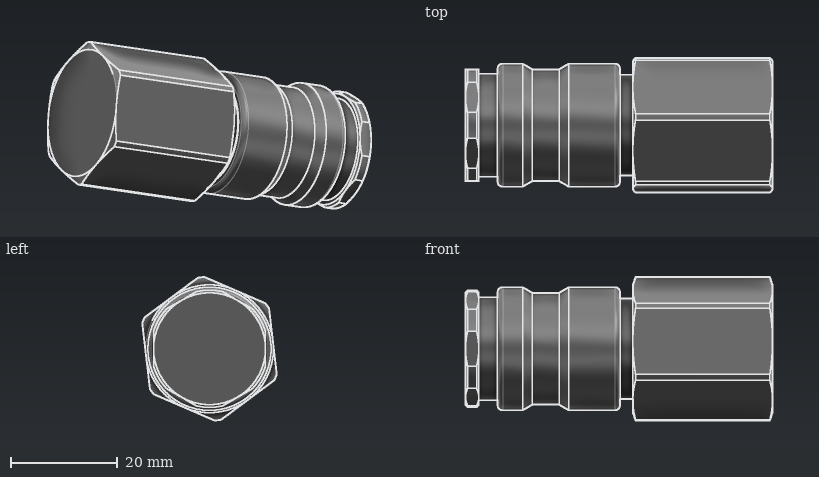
import cadquery as cq
import math

total_length = 57.6
collar_length = 2.5
sleeve_start = 6.0
sleeve_end = 29.0
nut_start = 31.4
nut_length = total_length - nut_start

collar_flats = 21.0
collar_corner_diameter = 22.0
collar_chamfer_length = 0.4
front_neck_diameter = 19.4
rear_neck_diameter = 18.95
nut_flats = 24.0
nut_corner_diameter = 27.05
nut_end_diameter = 24.0
nut_chamfer_length = 0.5
nut_tilt = 6.65

sleeve_diameter = 23.15
waist_diameter = 21.0
sleeve_edge_radius = 1.0
shoulder_length = 1.85
waist_start = 12.55
waist_end = 17.55


def hexagon_bar(start, length, flats, corner_angle):
    """Hexagonal prism along X; corner_angle runs from +Y towards +Z."""
    corner_to_corner = flats / math.cos(math.radians(30))
    bar = cq.Workplane("YZ").polygon(6, corner_to_corner).extrude(length)
    return bar.rotate((0, 0, 0), (1, 0, 0), corner_angle).translate((start, 0, 0))


def chamfered_cylinder(start, length, diameter, end_diameter, chamfer_length):
    """Turned blank along X with a conical chamfer at both ends."""
    end = start + length
    return (
        cq.Workplane("XY")
        .moveTo(start, 0)
        .lineTo(start, end_diameter / 2)
        .lineTo(start + chamfer_length, diameter / 2)
        .lineTo(end - chamfer_length, diameter / 2)
        .lineTo(end, end_diameter / 2)
        .lineTo(end, 0)
        .close()
        .revolve(360, (0, 0, 0), (1, 0, 0))
    )


def cylinder(start, end, diameter):
    """Plain cylinder along X."""
    return cq.Workplane("YZ", origin=(start, 0, 0)).circle(diameter / 2).extrude(end - start)


def make_core():
    """Inner body, with flats at +Y and -Y on the collar and a tilted nut."""
    collar = hexagon_bar(0, collar_length, collar_flats, 90).intersect(
        chamfered_cylinder(0, collar_length, collar_corner_diameter, collar_flats, collar_chamfer_length)
    )
    nut = hexagon_bar(nut_start, nut_length, nut_flats, 90 - nut_tilt).intersect(
        chamfered_cylinder(nut_start, nut_length, nut_corner_diameter, nut_end_diameter, nut_chamfer_length)
    )
    front_neck = cylinder(collar_length, sleeve_end, front_neck_diameter)
    rear_neck = cylinder(sleeve_end, nut_start, rear_neck_diameter)
    return collar.union(front_neck).union(rear_neck).union(nut)


def make_sleeve():
    """Outer shell that fits around the front neck of the core."""
    bore_radius = front_neck_diameter / 2
    outer_radius = sleeve_diameter / 2
    waist_radius = waist_diameter / 2
    shell = (
        cq.Workplane("XY")
        .moveTo(sleeve_start, bore_radius)
        .lineTo(sleeve_start, outer_radius - sleeve_edge_radius)
        .radiusArc((sleeve_start + sleeve_edge_radius, outer_radius), sleeve_edge_radius)
        .lineTo(waist_start - shoulder_length, outer_radius)
        .lineTo(waist_start, waist_radius)
        .lineTo(waist_end, waist_radius)
        .lineTo(waist_end + shoulder_length, outer_radius)
        .lineTo(sleeve_end - sleeve_edge_radius, outer_radius)
        .radiusArc((sleeve_end, outer_radius - sleeve_edge_radius), sleeve_edge_radius)
        .lineTo(sleeve_end, bore_radius)
        .close()
        .revolve(360, (0, 0, 0), (1, 0, 0))
    )
    return shell


core = make_core()
sleeve = make_sleeve()

result = cq.Compound.makeCompound([core.val(), sleeve.val()])